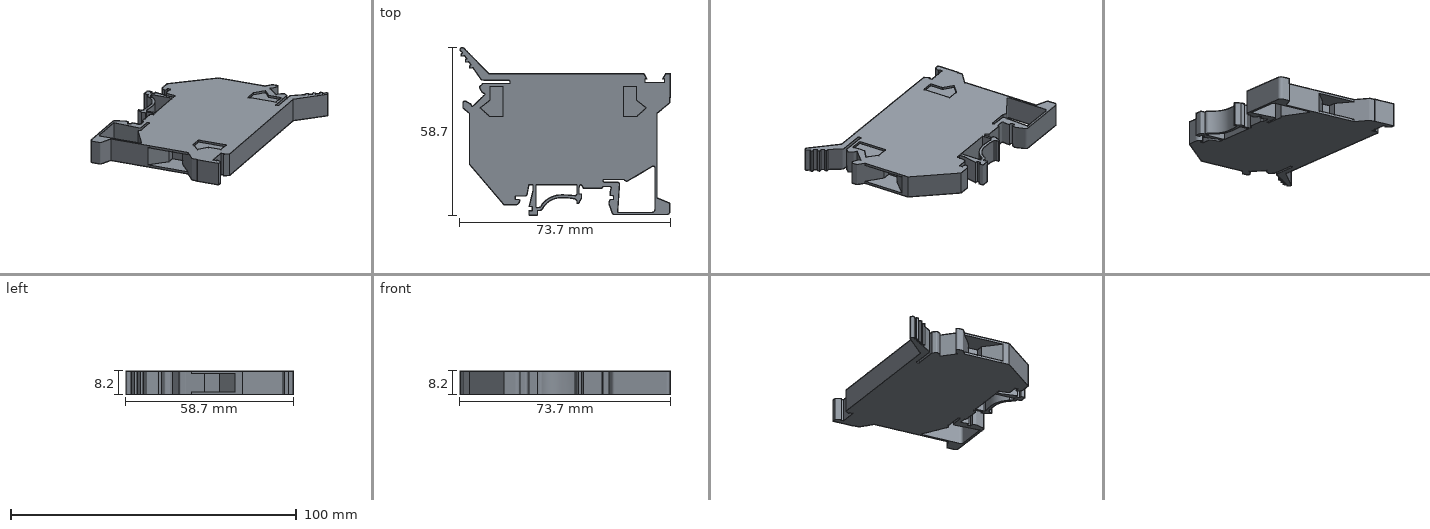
import cadquery as cq
import math


thickness = 8.2
half_width = 32.88
top_y = 49.3
rail_seat_y = 10.3
overlap = 1.0

bevel_top_y = 17.6
bevel_bottom_x = -20.7
left_base_y = 3.3

shoulder_y = 35.4
shoulder_slope = 0.82
funnel_depth = 5.5
duct_length = 3.0
throat_bottom_y = 25.6
funnel_skin = 0.85

recess_depth = 0.75
recess_inner_x = 21.15
recess_outer_x = 25.65
recess_tip_x = 29.05
recess_top_y = 44.85
recess_bottom_y = 34.2
recess_tip_y = 37.3
recess_shoulder_y = 40.0

slot_end_x = -18.7
slot_top_y = 46.95
slot_bottom_y = 45.9
slot_corner_radius = 0.4
lever_root_x = -26.0
lever_tip_radius = 0.85
tooth_count = 3
first_tooth = (-35.77, 55.37)
tooth_pitch = (1.49, -2.07)

groove_mid_x = 32.05
groove_floor_y = 46.25
groove_lip_y = 47.45
groove_floor_half = 3.37
groove_lip_half = 2.75
groove_mouth_half = 3.83

top_right_x = 37.52
right_shoulder_x = 37.3
right_step_y = 41.0

right_foot_radius = 1.2
right_foot_bottom_y = -0.1
left_foot_bottom_y = -0.3
left_foot_radius = 0.3
right_foot_x = 37.37
window_right_x = 32.05
window_floor_y = 0.75


def prism(points, height=thickness, base_z=0.0):
    """Extrude a closed outline; a corner given as (x, y, radius) is rounded."""
    corners = []
    for index, corner in enumerate(points):
        x, y = corner[:2]
        radius = corner[2] if len(corner) == 3 else 0.0
        if radius == 0.0:
            corners.append(((x, y), None, (x, y)))
            continue
        before = points[index - 1]
        after = points[(index + 1) % len(points)]
        back_angle = math.atan2(before[1] - y, before[0] - x)
        ahead_angle = math.atan2(after[1] - y, after[0] - x)
        half_angle = math.acos(math.cos(ahead_angle - back_angle)) / 2
        setback = radius / math.tan(half_angle)
        middle_distance = radius / math.sin(half_angle) - radius
        middle_angle = math.atan2(
            math.sin(back_angle) + math.sin(ahead_angle),
            math.cos(back_angle) + math.cos(ahead_angle),
        )
        start, middle, end = [
            (x + distance * math.cos(angle), y + distance * math.sin(angle))
            for distance, angle in (
                (setback, back_angle),
                (middle_distance, middle_angle),
                (setback, ahead_angle),
            )
        ]
        corners.append((start, middle, end))

    outline = cq.Workplane("XY").workplane(offset=base_z).moveTo(*corners[0][2])
    for start, middle, end in corners[1:] + corners[:1]:
        outline = outline.lineTo(*start)
        if middle is not None:
            outline = outline.threePointArc(middle, end)
    return outline.close().extrude(height)


def mirrored(points):
    """Reflect an outline across the middle plane."""
    return [(-x, y) for x, y in points]


def make_housing():
    """Main plate with the hooks, the left finger and the right foot."""
    left_hook = [
        (-15.75, left_base_y, 1.6),
        (-15.1, 4.85),
        (-15.4, 5.25),
        (-16.75, 5.25),
        (-16.75, 6.4),
        (-12.7, 6.4, 0.9),
        (-12.0, rail_seat_y),
    ]
    rail_edge = [
        (6.4, rail_seat_y),
        (7.1, 9.15),
        (13.5, 9.15),
        (13.95, 9.75),
    ]
    right_leg = [
        (16.85, 9.75, 0.4),
        (16.45, 8.0),
        (16.45, 6.6),
        (17.6, 6.6, 0.3),
        (17.6, 5.25),
        (16.4, 5.25),
        (15.9, 4.0, 1.0),
        (17.3, right_foot_bottom_y, 1.0),
    ]
    right_foot = [
        (right_foot_x, right_foot_bottom_y, right_foot_radius),
        (right_foot_x, 3.95, 0.4),
        (half_width, 5.8),
    ]
    right_shoulder_rise = shoulder_slope * (right_shoulder_x - half_width)
    right_side = [
        (half_width, shoulder_y),
        (right_shoulder_x, shoulder_y + right_shoulder_rise, 0.3),
        (right_shoulder_x, right_step_y),
        (top_right_x, right_step_y),
        (top_right_x, top_y),
    ]
    left_hook_above_finger = [
        (slot_end_x, top_y),
        (slot_end_x, slot_bottom_y),
        (-28.1, slot_bottom_y),
        (-29.45, 44.5, 0.5),
        (-28.4, 42.75, 0.3),
        (-27.3, 42.1),
    ]
    finger_x = -35.15
    finger_rise = shoulder_slope * (-half_width - finger_x)
    left_finger = [
        (-31.85, 37.7),
        (-32.4, 38.7, 0.3),
        (-34.6, 39.9, 0.8),
        (finger_x, 39.2, 0.3),
        (finger_x, shoulder_y + finger_rise, 0.3),
        (-half_width, shoulder_y),
    ]
    lower_left_bevel = [
        (-half_width, bevel_top_y),
        (bevel_bottom_x, left_base_y),
    ]
    return prism(
        left_hook + rail_edge + right_leg + right_foot + right_side
        + left_hook_above_finger + left_finger + lower_left_bevel
    )


def make_lever():
    """Springy release lever, slit from the housing, with gripping teeth."""
    lever = prism([
        (slot_end_x + overlap, top_y),
        (lever_root_x, top_y),
        (-35.35, 58.78, lever_tip_radius),
        (-36.36, 57.65, 0.45),
        (-35.2, 56.55),
        (-28.65, 47.05, 0.5),
        (-27.8, slot_top_y),
        (slot_end_x, slot_top_y, slot_corner_radius),
        (slot_end_x, slot_bottom_y),
        (slot_end_x + overlap, slot_bottom_y),
    ])
    tooth_shape = [
        (0.0, 0.0),
        (0.9, 0.0),
        (1.4, 0.3),
        (0.9, 1.2),
        (0.3, 1.1),
        (0.0, 0.8),
    ]
    for index in range(tooth_count):
        corner_x = first_tooth[0] + index * tooth_pitch[0]
        corner_y = first_tooth[1] + index * tooth_pitch[1]
        tooth = prism([(corner_x + x, corner_y + y) for x, y in tooth_shape])
        lever = lever.union(tooth)
    return lever


def make_rail_spring():
    """Left-hand clip: a tapered leg, a bowed strip and a short upright."""
    leg_right_x = -9.45
    foot_left_x = -12.0
    foot_right_x = -8.95
    leg = prism([
        (-10.6, rail_seat_y + overlap),
        (-10.6, 8.3),
        (-11.95, 2.75),
        (-10.9, 2.75),
        (-10.9, 1.35),
        (foot_left_x, 1.35),
        (foot_left_x, left_foot_bottom_y, left_foot_radius),
        (foot_right_x, left_foot_bottom_y, left_foot_radius),
        (foot_right_x, 2.0),
        (leg_right_x, 2.6),
        (leg_right_x, rail_seat_y + overlap),
    ])
    strip_top_y = 6.9
    strip_bottom_y = 5.8
    strip_mid_x = -0.2
    strip_start_x = -9.2
    strip = (
        cq.Workplane("XY")
        .moveTo(strip_start_x, 1.35)
        .lineTo(-8.2, 1.35)
        .threePointArc((-7.7, 1.5), (-7.3, 1.9))
        .threePointArc((-4.6, 4.75), (strip_mid_x, strip_bottom_y))
        .threePointArc((2.7, 5.65), (4.2, 5.35))
        .lineTo(4.75, 4.8)
        .lineTo(5.2, 6.7)
        .lineTo(4.3, 6.6)
        .threePointArc((2.5, 6.75), (strip_mid_x, strip_top_y))
        .threePointArc((-4.4, 6.0), (-7.5, 3.5))
        .threePointArc((-7.8, 2.8), (-8.4, 2.5))
        .lineTo(strip_start_x, 2.5)
        .close()
        .extrude(thickness)
    )
    upright = prism([
        (4.75, rail_seat_y + overlap),
        (4.75, rail_seat_y - 0.4),
        (4.75, 7.0),
        (4.3, 6.6),
        (4.2, 5.35),
        (4.75, 4.8),
        (4.75, 3.85),
        (5.4, 3.85),
        (6.45, 5.75),
        (6.45, 7.2),
        (5.6, 7.2),
        (5.6, 9.4),
        (5.9, rail_seat_y),
        (5.9, rail_seat_y + overlap),
    ])
    return leg.union(strip).union(upright)


def make_foot_window():
    """Opening above the right foot, with the slit that lets its leg flex."""
    return prism([
        (14.0, 12.2, 0.35),
        (21.3, 12.2),
        (22.1, 11.4, 0.8),
        (31.55, 17.0, 0.6),
        (window_right_x, 16.65, 0.4),
        (window_right_x, window_floor_y, 1.0),
        (19.1, window_floor_y),
        (19.8, 11.3, 0.8),
        (14.0, 11.35, 0.35),
    ])


def make_marker_groove():
    """Undercut groove in the top edge."""
    right_half = [
        (groove_floor_half, groove_floor_y),
        (groove_floor_half, groove_lip_y),
        (groove_lip_half, groove_lip_y),
        (groove_mouth_half, top_y),
    ]
    left_half = mirrored(right_half)[::-1]
    return prism([(groove_mid_x + x, y) for x, y in right_half + left_half])


def make_wire_funnels():
    """Tapered cavities in the two side walls, each ending in a straight duct."""
    throat_x = half_width - funnel_depth
    duct_end_x = throat_x - duct_length
    throat_top_y = shoulder_y - shoulder_slope * funnel_depth
    mouth_bottom_y = throat_bottom_y - funnel_depth
    funnel = [
        (half_width, shoulder_y),
        (half_width, mouth_bottom_y),
        (throat_x, throat_bottom_y),
        (duct_end_x, throat_bottom_y),
        (duct_end_x, throat_top_y),
        (throat_x, throat_top_y),
    ]
    height = thickness - 2 * funnel_skin
    return prism(funnel, height, funnel_skin).union(prism(mirrored(funnel), height, funnel_skin))


def make_marker_recesses():
    """Shallow pockets in the upper face, each pointing at its side wall."""
    recess = [
        (recess_inner_x, recess_top_y),
        (recess_outer_x, recess_top_y),
        (recess_outer_x, recess_shoulder_y),
        (recess_tip_x, recess_tip_y),
        (recess_outer_x, recess_bottom_y),
        (recess_inner_x, recess_bottom_y),
    ]
    base_z = thickness - recess_depth
    return prism(recess, recess_depth, base_z).union(prism(mirrored(recess), recess_depth, base_z))


result = (
    make_housing()
    .union(make_lever())
    .union(make_rail_spring())
    .cut(make_foot_window())
    .cut(make_marker_groove())
    .cut(make_wire_funnels())
    .cut(make_marker_recesses())
)